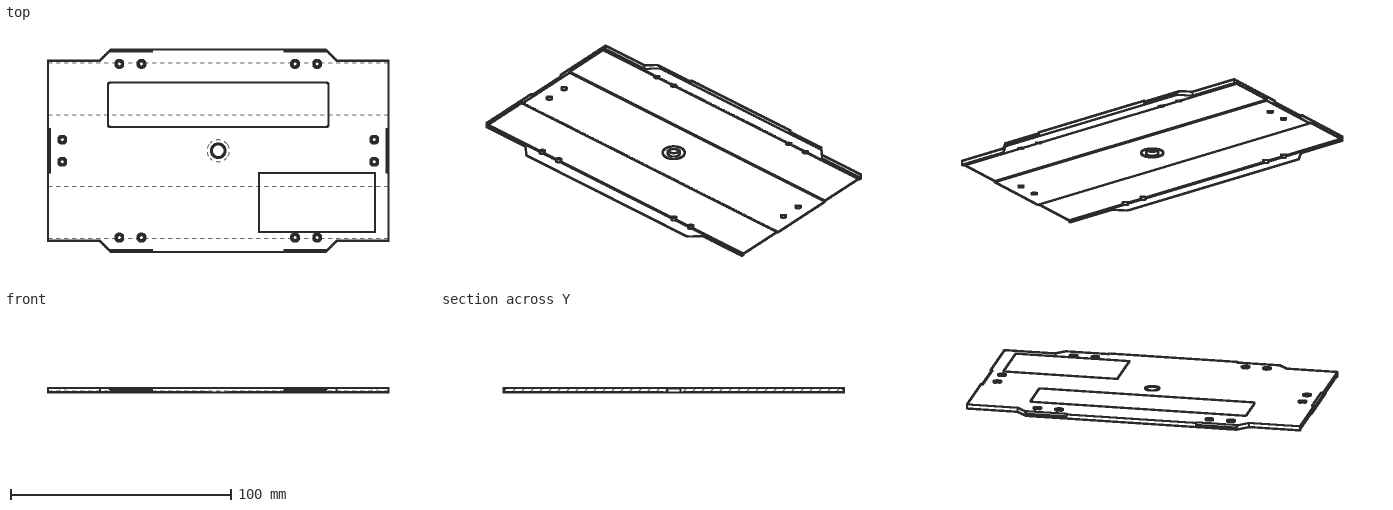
import cadquery as cq

length = 154.7
body_width = 82.0
tab_width = 92.0
tab_length = 97.5
tab_flare = (tab_width - body_width) / 2

total_height = 2.2
boss_height = 0.2
plate_thickness = total_height - boss_height

channel_depth = 0.5
channel_inner = 16.2
channel_outer = 39.8

boss_diameter = 10.0
centre_hole_diameter = 5.9
centre_hole_chamfer = 0.3

screw_diameter = 2.5
countersink_diameter = 3.5
countersink_angle = 90
screw_pitch = 10.0
long_edge_pair_x = 39.9
long_edge_pair_y = 39.5
end_pair_x = 70.9

bevel = 1.0
end_bevel_length = 19.8
tab_bevel_inner = 30.0

recess_depth = 0.1
long_recess_size = (100.2, 20.1)
long_recess_centre = (0, 20.9)
long_recess_radius = 1.1
small_recess_size = (52.9, 26.8)
small_recess_centre = (44.9, -23.5)
small_recess_radius = 0.5


def make_plate():
    """Rectangular plate with a flared tab along each long side."""
    body = cq.Workplane("XY").rect(length, body_width).extrude(-plate_thickness)
    half_tab = tab_length / 2
    half_root = half_tab + tab_flare
    tabs = (
        cq.Workplane("XY")
        .polyline([
            (-half_root, -body_width / 2),
            (-half_tab, -tab_width / 2),
            (half_tab, -tab_width / 2),
            (half_root, -body_width / 2),
            (half_root, body_width / 2),
            (half_tab, tab_width / 2),
            (-half_tab, tab_width / 2),
            (-half_root, body_width / 2),
        ])
        .close()
        .extrude(-plate_thickness)
    )
    return body.union(tabs)


def channel(side):
    """Open-ended channel under the +Y (side 1) or -Y (side -1) half."""
    return (
        cq.Workplane("XY", origin=(0, 0, -plate_thickness))
        .center(0, side * (channel_inner + channel_outer) / 2)
        .rect(length, channel_outer - channel_inner)
        .extrude(channel_depth)
    )


def recess(size, centre, radius):
    """Rounded rectangular recess in the top face."""
    return (
        cq.Workplane("XY")
        .center(*centre)
        .rect(*size)
        .extrude(-recess_depth)
        .edges("|Z")
        .fillet(radius)
    )


def end_bevel(side):
    """Wedge along the middle of the top edge at one end, side 1 is +X."""
    edge = side * length / 2
    return (
        cq.Workplane("XZ")
        .polyline([(edge - side * bevel, 0), (edge, 0), (edge, -bevel)])
        .close()
        .extrude(end_bevel_length / 2, both=True)
    )


def tab_bevel(x_side, y_side):
    """Wedge along the outer top edge of a tab, near one of its corners."""
    edge = y_side * tab_width / 2
    wedge_length = tab_length / 2 + tab_flare - tab_bevel_inner
    return (
        cq.Workplane("YZ", origin=(x_side * tab_bevel_inner, 0, 0))
        .polyline([(edge - y_side * bevel, 0), (edge, 0), (edge, -bevel)])
        .close()
        .extrude(x_side * wedge_length)
    )


def screw_points():
    """Centres of the screw holes along both long edges and both ends."""
    points = []
    for x_side in (-1, 1):
        for step in (-screw_pitch / 2, screw_pitch / 2):
            points.append((x_side * end_pair_x, step))
            for y_side in (-1, 1):
                points.append((x_side * long_edge_pair_x + step, y_side * long_edge_pair_y))
    return points


result = make_plate()
for side in (-1, 1):
    result = result.cut(channel(side)).cut(end_bevel(side))
    for y_side in (-1, 1):
        result = result.cut(tab_bevel(side, y_side))

result = result.cut(recess(long_recess_size, long_recess_centre, long_recess_radius))
result = result.cut(recess(small_recess_size, small_recess_centre, small_recess_radius))

boss = cq.Workplane("XY").circle(boss_diameter / 2).extrude(-total_height)
centre_hole = cq.Workplane("XY").circle(centre_hole_diameter / 2).extrude(-total_height)
result = result.union(boss).cut(centre_hole)
top_hole_edge = cq.selectors.RadiusNthSelector(-1)
result = result.faces(">Z").edges(top_hole_edge).chamfer(centre_hole_chamfer)

result = (
    result.copyWorkplane(cq.Workplane("XY"))
    .pushPoints(screw_points())
    .cskHole(screw_diameter, countersink_diameter, countersink_angle)
)